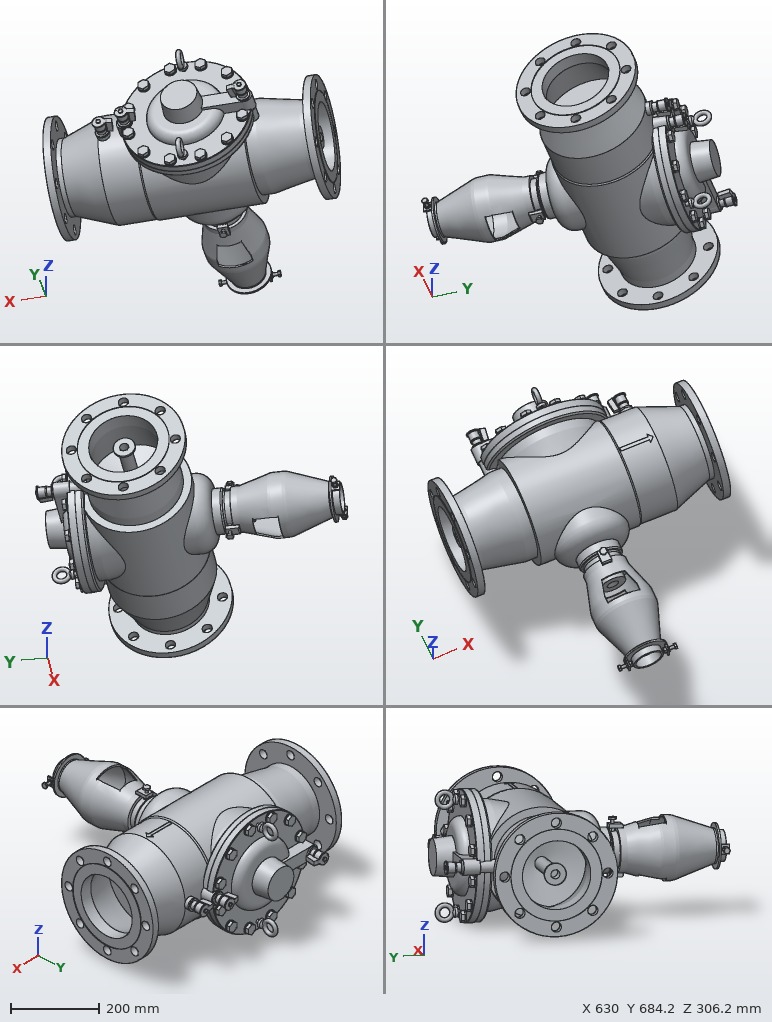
import cadquery as cq
import math

INLET_FACE_X = -290.0
OUTLET_FACE_X = 340.0
RAISED_FACE_HEIGHT = 2.0
RAISED_FACE_DIA = 212.0
FLANGE_DIA = 285.0
FLANGE_THICKNESS = 18.0
FLANGE_BOLT_CIRCLE_DIA = 240.0
FLANGE_HOLE_DIA = 23.0
FLANGE_HOLE_COUNT = 8
PIPE_DIA = 181.0
PIPE_BORE_DIA = 159.0
INLET_CONE_START_X = -250.5
INLET_CONE_END_X = -152.0
INLET_SLEEVE_DIA = 219.1
BODY_START_X = -125.5
BODY_END_X = 120.5
BODY_DIA = 257.0
OUTLET_SLEEVE_DIA = 252.0
OUTLET_SLEEVE_START_X = 124.5
OUTLET_CONE_START_X = 213.5
OUTLET_CONE_END_X = 308.0
WALL = (PIPE_DIA - PIPE_BORE_DIA) / 2

CAVITY_BOTTOM_X = -135.0
GUIDE_DISC_DIA = 50.81
GUIDE_DISC_X = -278.0
GUIDE_DISC_THICKNESS = 5.0
GUIDE_STEM_DIA = 31.75
GUIDE_HOLE_DIA = 20.65
GUIDE_HOLE_DEPTH = 25.0

BULGE_DIA = 184.0
BULGE_STRAIGHT_END_Y = -123.2
BULGE_END_Y = -161.0
COLLAR_DIA = 106.0
COLLAR_CHAMFER = 4.0
GROOVE_DIA = 89.0
COLLAR_END_Y = -185.0
GROOVE_END_Y = -203.5
FUNNEL_CONE_START_Y = -220.0
FUNNEL_CONE_END_Y = -294.0
FUNNEL_DIA = 151.0
FUNNEL_BELT_START_Y = -300.0
FUNNEL_BELT_END_Y = -327.5
FUNNEL_TAPER_START_Y = -335.5
BELT_EASING = 1.5
FUNNEL_TIP_Y = -428.5
FUNNEL_TIP_DIA = 82.0
SPOUT_PLATE_Y = -432.5
SPOUT_PLATE_END_Y = -437.0
SPOUT_DIA = 73.0
SPOUT_END_Y = -453.0
SPOUT_BORE_DIA = 63.0
FUNNEL_WALL = 4.5
FUNNEL_CAVITY_TOP_Y = -225.0
NOZZLE_DIA = 64.0
NOZZLE_END_Y = -249.0
NOZZLE_DIMPLE_DIA = 28.0
NOZZLE_DIMPLE_DEPTH = 6.0
WINDOW_TOP_Y = -251.0
WINDOW_BOTTOM_Y = -312.7
WINDOW_TOP_WIDTH = 57.0
WINDOW_BOTTOM_WIDTH = 79.5

BONNET_DIA = 257.0
BONNET_STRAIGHT_END_Y = 95.0
BONNET_CONE_TIP_DIA = 236.0
BONNET_CONE_TIP_Y = 40.0
COVER_SEAT_Y = 118.0
COVER_JOINT_Y = 136.4
COVER_TOP_Y = 155.0
COVER_DIA = 306.15
LOWER_FLANGE_DIA = 304.0
LOWER_FLANGE_CHAMFER = 4.0
COVER_EDGE_CHAMFER = 1.5
DOME_DIA = 183.0
DOME_TOP_Y = 178.5
TURRET_BASE_DIA = 95.0
TURRET_TOP_DIA = 85.5
TURRET_TOP_Y = 223.5

COVER_BOLT_COUNT = 12
COVER_BOLT_CIRCLE_DIA = 276.0
BOLT_WASHER_DIA = 28.0
BOLT_WASHER_HEIGHT = 3.0
BOLT_HEAD_ACROSS_FLATS = 24.0
BOLT_HEAD_HEIGHT = 11.5

EYE_X = 4.5
EYE_Z = 130.2
EYE_CENTER_Y = 194.0
EYE_RING_DIA = 34.0
EYE_WIRE_DIA = 11.0
EYE_COLLAR_DIA = 23.0
EYE_COLLAR_START_Y = 165.0
EYE_COLLAR_END_Y = 171.5
EYE_SHANK_DIA = 10.0

TUBE_DIA = 36.93
TUBE_X = 143.5
TUBE_FOOT_DIA = 30.95
TUBE_STEP_Y = 147.5
INLET_TUBE_TOP_Y = 186.0
OUTLET_TUBE_TOP_Y = 159.0
TUBE_ROOT_Y = 95.0
DUCT_WIDTH = 35.0
COCK_OFFSET_X = 142.0
DOWNSTREAM_COCK_X = 200.0
DOWNSTREAM_COCK_DIA = 30.95
DOWNSTREAM_COCK_Y = 136.3
COCK_HEIGHT = 41.75
COCK_BASE_DIA = 31.75
COCK_BASE_TOP = 4.0
COCK_NECK_DIA = 22.0
COCK_RING_BOTTOM = 15.5
COCK_RING_TOP = 18.5
COCK_RING_DIA = 25.85
COCK_BODY_DIA = 25.0
COCK_CAP_BOTTOM = 36.0
COCK_CAP_TOP = 39.0
COCK_CAP_DIA = 30.0
COCK_KNOB_DIA = 10.0
LEVER_WIDTH = 12.0
LEVER_TOP_INNER = 17.5
LEVER_TOP_OUTER = 30.5
LEVER_FOOT_INNER = 14.0
LEVER_FOOT_OUTER = 26.5
LEVER_FOOT_HEIGHT = 7.0
LEVER_SHOULDER_HEIGHT = 35.5

SCREW_SHANK_DIA = 8.0
SCREW_HEAD_HEIGHT = 5.0
NECK_SCREW_Y = -195.0
NECK_SCREW_ROOT_Z = 43.5
NECK_SCREW_TIP_Z = 76.0
NECK_SCREW_HEAD_CORNERS = 18.5
NECK_NUT_CORNERS = 15.0
NECK_LUG_WIDTH = 23.5
NECK_LUG_START_Y = -218.0
NECK_LUG_END_Y = -185.5
NECK_LUG_BOTTOM_Z = 52.0
NECK_LUG_TOP_Z = 61.5
NECK_LUG_CHAMFER = 3.0
SPOUT_SCREW_Y = -446.5
SPOUT_SCREW_ROOT_X = 40.5
SPOUT_SCREW_TIP_X = 71.5
SPOUT_SCREW_HEAD_CORNERS = 15.0
SPOUT_NUT_CORNERS = 15.0
SPOUT_NUT_END_X = 53.0
SPOUT_LUG_WIDTH = 23.0
SPOUT_LUG_START_X = 46.0
SPOUT_LUG_END_X = 50.0
SPOUT_LUG_END_Y = -456.5

ARROW_TAIL_X = 127.0
ARROW_NECK_X = 197.0
ARROW_TIP_X = 208.0
ARROW_SHAFT_WIDTH = 8.5
ARROW_HEAD_WIDTH = 22.0
ARROW_TOP_Z = 127.0


def turned_x(stations):
    """Solid of revolution about X from (x, diameter) stations."""
    points = [(x, dia / 2) for x, dia in stations]
    outline = [(points[0][0], 0)] + points + [(points[-1][0], 0)]
    return cq.Workplane("XY").polyline(outline).close().revolve(360, (0, 0), (1, 0))


def turned_y(stations):
    """Solid of revolution about Y from (y, diameter) stations."""
    points = [(dia / 2, y) for y, dia in stations]
    outline = [(0, points[0][1])] + points
    if points[-1][0] > 0:
        outline.append((0, points[-1][1]))
    return cq.Workplane("XY").polyline(outline).close().revolve(360, (0, 0), (0, 1))


def hex_prism_x(across_corners, start_x, end_x):
    """Hexagonal prism about X with two corners on the Y direction."""
    plane = cq.Workplane("YZ", origin=(start_x, 0, 0))
    return plane.polygon(6, across_corners).extrude(end_x - start_x)


def box_between(low, high):
    size = [b - a for a, b in zip(low, high)]
    return cq.Workplane("XY").box(*size, centered=False).translate(low)


def pipe_flange(face_x, inward):
    """Flange with raised face; inward is the X direction away from the face."""
    back_of_face = face_x + inward * RAISED_FACE_HEIGHT
    back = back_of_face + inward * FLANGE_THICKNESS
    return turned_x([
        (face_x, RAISED_FACE_DIA),
        (back_of_face, RAISED_FACE_DIA),
        (back_of_face, FLANGE_DIA),
        (back, FLANGE_DIA),
    ])


def flange_bolt_holes():
    """Drills for both flanges; each pair lies on one line parallel to X."""
    depth = RAISED_FACE_HEIGHT + FLANGE_THICKNESS
    drills = cq.Workplane("YZ")
    for start_x in (INLET_FACE_X, OUTLET_FACE_X - depth):
        ring = cq.Workplane("YZ", origin=(start_x, 0, 0)).polarArray(
            FLANGE_BOLT_CIRCLE_DIA / 2, 0, 360, FLANGE_HOLE_COUNT)
        drills = drills.add(ring.circle(FLANGE_HOLE_DIA / 2).extrude(depth))
    return drills.combine()


def run_pipe():
    return turned_x([
        (INLET_FACE_X, PIPE_DIA),
        (INLET_CONE_START_X, PIPE_DIA),
        (INLET_CONE_END_X, INLET_SLEEVE_DIA),
        (BODY_START_X, INLET_SLEEVE_DIA),
        (BODY_START_X, BODY_DIA),
        (BODY_END_X, BODY_DIA),
        (OUTLET_SLEEVE_START_X, OUTLET_SLEEVE_DIA),
        (OUTLET_CONE_START_X, OUTLET_SLEEVE_DIA),
        (OUTLET_CONE_END_X, PIPE_DIA),
        (OUTLET_FACE_X, PIPE_DIA),
    ])


def inlet_cavity():
    """Bore that widens with the inlet cone and ends in a funnel to the guide stem."""
    return turned_x([
        (INLET_FACE_X, PIPE_BORE_DIA),
        (INLET_CONE_START_X, PIPE_BORE_DIA),
        (INLET_CONE_END_X, INLET_SLEEVE_DIA - 2 * WALL),
        (CAVITY_BOTTOM_X, GUIDE_STEM_DIA),
    ])


def outlet_cavity():
    return turned_x([
        (OUTLET_CONE_START_X, OUTLET_SLEEVE_DIA - 2 * WALL),
        (OUTLET_CONE_END_X, PIPE_BORE_DIA),
        (OUTLET_FACE_X, PIPE_BORE_DIA),
    ])


def valve_guide():
    disc_back = GUIDE_DISC_X + GUIDE_DISC_THICKNESS
    guide = turned_x([
        (GUIDE_DISC_X, GUIDE_DISC_DIA),
        (disc_back, GUIDE_DISC_DIA),
        (disc_back, GUIDE_STEM_DIA),
        (CAVITY_BOTTOM_X + WALL, GUIDE_STEM_DIA),
    ])
    hole = turned_x([(GUIDE_DISC_X, GUIDE_HOLE_DIA), (GUIDE_DISC_X + GUIDE_HOLE_DEPTH, GUIDE_HOLE_DIA)])
    return guide.cut(hole)


def drain_bulge():
    """Cylinder with a fully rounded lower rim."""
    radius = BULGE_DIA / 2
    rim = BULGE_STRAIGHT_END_Y - BULGE_END_Y
    middle = rim * math.sin(math.pi / 4)
    profile = (
        cq.Workplane("XY")
        .moveTo(0, 0)
        .lineTo(radius, 0)
        .lineTo(radius, BULGE_STRAIGHT_END_Y)
        .threePointArc((radius - rim + middle, BULGE_STRAIGHT_END_Y - middle), (radius - rim, BULGE_END_Y))
        .lineTo(0, BULGE_END_Y)
        .close()
    )
    return profile.revolve(360, (0, 0), (0, 1))


def drain_funnel():
    """Grooved neck, hollow windowed funnel and spout, with a dimpled nozzle inside."""
    body = turned_y([
        (BULGE_END_Y, COLLAR_DIA),
        (COLLAR_END_Y + COLLAR_CHAMFER, COLLAR_DIA),
        (COLLAR_END_Y, COLLAR_DIA - COLLAR_CHAMFER),
        (COLLAR_END_Y, GROOVE_DIA + COLLAR_CHAMFER),
        (COLLAR_END_Y - COLLAR_CHAMFER, GROOVE_DIA),
        (GROOVE_END_Y, GROOVE_DIA),
        (GROOVE_END_Y, COLLAR_DIA),
        (FUNNEL_CONE_START_Y, COLLAR_DIA),
        (FUNNEL_CONE_END_Y, FUNNEL_DIA - BELT_EASING),
        (FUNNEL_BELT_START_Y, FUNNEL_DIA),
        (FUNNEL_BELT_END_Y, FUNNEL_DIA),
        (FUNNEL_TAPER_START_Y, FUNNEL_DIA - 2 * BELT_EASING),
        (FUNNEL_TIP_Y, FUNNEL_TIP_DIA),
        (SPOUT_PLATE_Y, FUNNEL_TIP_DIA),
        (SPOUT_PLATE_Y, COLLAR_DIA),
        (SPOUT_PLATE_END_Y, COLLAR_DIA),
        (SPOUT_PLATE_END_Y, SPOUT_DIA),
        (SPOUT_END_Y, SPOUT_DIA),
    ])
    inner_dia = FUNNEL_DIA - 2 * FUNNEL_WALL
    cone_slope = (FUNNEL_DIA - COLLAR_DIA) / (FUNNEL_CONE_START_Y - FUNNEL_CONE_END_Y)
    cavity_top_dia = inner_dia - cone_slope * (FUNNEL_CAVITY_TOP_Y - FUNNEL_CONE_END_Y)
    cavity = turned_y([
        (FUNNEL_CAVITY_TOP_Y, cavity_top_dia),
        (FUNNEL_CONE_END_Y, inner_dia),
        (FUNNEL_BELT_END_Y, inner_dia),
        (FUNNEL_TIP_Y, SPOUT_BORE_DIA),
        (SPOUT_END_Y, SPOUT_BORE_DIA),
    ])
    dimple = turned_y([(NOZZLE_END_Y, NOZZLE_DIMPLE_DIA), (NOZZLE_END_Y + NOZZLE_DIMPLE_DEPTH, 0)])
    nozzle = turned_y([(FUNNEL_CAVITY_TOP_Y, NOZZLE_DIA), (NOZZLE_END_Y, NOZZLE_DIA)]).cut(dimple)
    return body.cut(cavity).cut(funnel_window()).union(nozzle)


def funnel_window():
    top = WINDOW_TOP_WIDTH / 2
    bottom = WINDOW_BOTTOM_WIDTH / 2
    outline = [
        (-top, WINDOW_TOP_Y),
        (top, WINDOW_TOP_Y),
        (bottom, FUNNEL_CONE_END_Y),
        (bottom, WINDOW_BOTTOM_Y),
        (-bottom, WINDOW_BOTTOM_Y),
        (-bottom, FUNNEL_CONE_END_Y),
    ]
    return cq.Workplane("XY").polyline(outline).close().extrude(FUNNEL_DIA, both=True)


def bonnet():
    return turned_y([
        (BONNET_CONE_TIP_Y, BONNET_CONE_TIP_DIA),
        (BONNET_STRAIGHT_END_Y, BONNET_DIA),
        (COVER_SEAT_Y, BONNET_DIA),
        (COVER_SEAT_Y, LOWER_FLANGE_DIA - 2 * LOWER_FLANGE_CHAMFER),
        (COVER_SEAT_Y + LOWER_FLANGE_CHAMFER, LOWER_FLANGE_DIA),
        (COVER_JOINT_Y, LOWER_FLANGE_DIA),
        (COVER_JOINT_Y, COVER_DIA),
        (COVER_TOP_Y - COVER_EDGE_CHAMFER, COVER_DIA),
        (COVER_TOP_Y, COVER_DIA - 2 * COVER_EDGE_CHAMFER),
    ])


def cover_dome():
    """Dome with a full-height rounded rim, carrying a tapered turret."""
    radius = DOME_DIA / 2
    rim = DOME_TOP_Y - COVER_TOP_Y
    middle = rim * math.sin(math.pi / 4)
    flat_radius = radius - rim
    profile = (
        cq.Workplane("XY")
        .moveTo(0, COVER_TOP_Y)
        .lineTo(radius, COVER_TOP_Y)
        .threePointArc((flat_radius + middle, COVER_TOP_Y + middle), (flat_radius, DOME_TOP_Y))
        .lineTo(0, DOME_TOP_Y)
        .close()
    )
    turret = turned_y([(DOME_TOP_Y, TURRET_BASE_DIA), (TURRET_TOP_Y, TURRET_TOP_DIA)])
    return profile.revolve(360, (0, 0), (0, 1)).union(turret)


def cover_bolts():
    """Ring of equally turned hexagon bolts, with two head corners on the Z direction."""
    washer_top = COVER_TOP_Y + BOLT_WASHER_HEIGHT
    head_corners = BOLT_HEAD_ACROSS_FLATS / math.cos(math.pi / 6)
    washer = turned_y([(COVER_TOP_Y, BOLT_WASHER_DIA), (washer_top, BOLT_WASHER_DIA)])
    head = hex_prism_x(head_corners, COVER_TOP_Y, COVER_TOP_Y + BOLT_HEAD_HEIGHT)
    head = head.rotate((0, 0, 0), (0, 0, 1), 90).rotate((0, 0, 0), (0, 1, 0), 90)
    bolt = washer.union(head)
    bolts = cq.Workplane("XY")
    for index in range(COVER_BOLT_COUNT):
        angle = 2 * math.pi * (index + 0.5) / COVER_BOLT_COUNT
        radius = COVER_BOLT_CIRCLE_DIA / 2
        bolts = bolts.add(bolt.translate((radius * math.cos(angle), 0, radius * math.sin(angle))))
    return bolts.combine()


def eye_bolt(z):
    shank_end = EYE_CENTER_Y - EYE_RING_DIA / 2
    stem = turned_y([
        (COVER_TOP_Y, EYE_SHANK_DIA),
        (EYE_COLLAR_START_Y, EYE_SHANK_DIA),
        (EYE_COLLAR_START_Y, EYE_COLLAR_DIA),
        (EYE_COLLAR_END_Y, EYE_COLLAR_DIA),
        (shank_end, EYE_SHANK_DIA),
    ]).translate((EYE_X, 0, z))
    ring = cq.Solid.makeTorus(
        EYE_RING_DIA / 2, EYE_WIRE_DIA / 2, cq.Vector(EYE_X, EYE_CENTER_Y, z), cq.Vector(1, 0, 0))
    return stem.union(cq.Workplane(ring))


def test_cock(x, base_y, handle_side):
    """Small ball cock pointing to +Y, with its lever on the given X side."""
    body = turned_y([
        (0, COCK_BASE_DIA),
        (COCK_BASE_TOP, COCK_BASE_DIA),
        (COCK_BASE_TOP, COCK_NECK_DIA),
        (COCK_RING_BOTTOM, COCK_NECK_DIA),
        (COCK_RING_BOTTOM, COCK_RING_DIA),
        (COCK_RING_TOP, COCK_RING_DIA),
        (COCK_RING_TOP, COCK_BODY_DIA),
        (COCK_CAP_BOTTOM, COCK_BODY_DIA),
        (COCK_CAP_BOTTOM, COCK_CAP_DIA),
        (COCK_CAP_TOP, COCK_CAP_DIA),
        (COCK_CAP_TOP, COCK_KNOB_DIA),
        (COCK_HEIGHT, COCK_KNOB_DIA),
    ])
    lever_outline = [
        (0, COCK_CAP_BOTTOM),
        (LEVER_TOP_INNER, COCK_CAP_BOTTOM),
        (LEVER_FOOT_INNER, LEVER_FOOT_HEIGHT),
        (LEVER_FOOT_OUTER, LEVER_FOOT_HEIGHT),
        (LEVER_TOP_OUTER, LEVER_SHOULDER_HEIGHT),
        (LEVER_TOP_INNER, COCK_CAP_TOP),
        (0, COCK_CAP_TOP),
    ]
    lever = cq.Workplane("XY").polyline([(handle_side * px, py) for px, py in lever_outline]).close()
    lever = lever.extrude(LEVER_WIDTH / 2, both=True)
    return body.union(lever).translate((x, base_y, 0))


def test_cocks():
    inlet_tube = turned_y([
        (TUBE_ROOT_Y, TUBE_FOOT_DIA),
        (TUBE_STEP_Y, TUBE_FOOT_DIA),
        (TUBE_STEP_Y, TUBE_DIA),
        (INLET_TUBE_TOP_Y, TUBE_DIA),
    ]).translate((-TUBE_X, 0, 0))
    outlet_tube = turned_y([(TUBE_ROOT_Y, TUBE_DIA), (OUTLET_TUBE_TOP_Y, TUBE_DIA)]).translate((TUBE_X, 0, 0))
    duct = box_between(
        (-TUBE_X, COVER_TOP_Y, -DUCT_WIDTH / 2),
        (0, INLET_TUBE_TOP_Y, DUCT_WIDTH / 2))
    stub = turned_y([(TUBE_ROOT_Y, DOWNSTREAM_COCK_DIA), (DOWNSTREAM_COCK_Y, DOWNSTREAM_COCK_DIA)])
    return (
        inlet_tube.union(outlet_tube).union(duct)
        .union(stub.translate((DOWNSTREAM_COCK_X, 0, 0)))
        .union(test_cock(-COCK_OFFSET_X, INLET_TUBE_TOP_Y, 1))
        .union(test_cock(COCK_OFFSET_X, OUTLET_TUBE_TOP_Y, -1))
        .union(test_cock(DOWNSTREAM_COCK_X, DOWNSTREAM_COCK_Y, -1))
    )


def clamp_screw(root, nut_end, tip, nut_corners, head_corners):
    """Hexagon screw with a hexagon nut, lying along +X."""
    shank = turned_x([(root, SCREW_SHANK_DIA), (tip, SCREW_SHANK_DIA)])
    nut = hex_prism_x(nut_corners, root, nut_end)
    head = hex_prism_x(head_corners, tip - SCREW_HEAD_HEIGHT, tip)
    return shank.union(nut).union(head)


def neck_clamp():
    """Screw and lug standing radially (+Z) on the grooved neck."""
    screw = clamp_screw(
        NECK_SCREW_ROOT_Z, NECK_LUG_BOTTOM_Z, NECK_SCREW_TIP_Z, NECK_NUT_CORNERS, NECK_SCREW_HEAD_CORNERS)
    screw = screw.rotate((0, 0, 0), (0, 1, 0), -90).translate((0, NECK_SCREW_Y, 0))
    lug = box_between(
        (-NECK_LUG_WIDTH / 2, NECK_LUG_START_Y, NECK_LUG_BOTTOM_Z),
        (NECK_LUG_WIDTH / 2, NECK_LUG_END_Y, NECK_LUG_TOP_Z))
    lug = lug.edges("<Y and >Z").chamfer(NECK_LUG_CHAMFER)
    return screw.union(lug)


def spout_clamp():
    """Screw and thin lug (+X) below the spout plate."""
    screw = clamp_screw(
        SPOUT_SCREW_ROOT_X, SPOUT_NUT_END_X, SPOUT_SCREW_TIP_X, SPOUT_NUT_CORNERS, SPOUT_SCREW_HEAD_CORNERS)
    lug = box_between(
        (SPOUT_LUG_START_X, SPOUT_LUG_END_Y, -SPOUT_LUG_WIDTH / 2),
        (SPOUT_LUG_END_X, SPOUT_PLATE_Y, SPOUT_LUG_WIDTH / 2))
    return lug.union(screw.translate((0, SPOUT_SCREW_Y, 0)))


def clamps():
    pair = neck_clamp().union(spout_clamp())
    return pair.union(pair.rotate((0, 0, 0), (0, 1, 0), 180))


def flow_arrow():
    """Raised arrow on the crown of the outlet sleeve, pointing to +X."""
    shaft = ARROW_SHAFT_WIDTH / 2
    head = ARROW_HEAD_WIDTH / 2
    outline = [
        (ARROW_TAIL_X, -shaft),
        (ARROW_NECK_X, -shaft),
        (ARROW_NECK_X, -head),
        (ARROW_TIP_X, 0),
        (ARROW_NECK_X, head),
        (ARROW_NECK_X, shaft),
        (ARROW_TAIL_X, shaft),
    ]
    depth = ARROW_TOP_Z - OUTLET_SLEEVE_DIA / 2 + WALL / 2
    plane = cq.Workplane("XY", origin=(0, 0, ARROW_TOP_Z))
    return plane.polyline(outline).close().extrude(-depth)


result = run_pipe()
for piece in (drain_bulge(), bonnet(), cover_dome(), pipe_flange(INLET_FACE_X, 1), pipe_flange(OUTLET_FACE_X, -1)):
    result = result.union(piece)
result = result.union(test_cocks()).union(cover_bolts())
result = result.union(eye_bolt(EYE_Z)).union(eye_bolt(-EYE_Z)).union(drain_funnel())
result = result.union(clamps()).union(flow_arrow())
result = result.cut(inlet_cavity()).cut(outlet_cavity()).union(valve_guide()).cut(flange_bolt_holes())